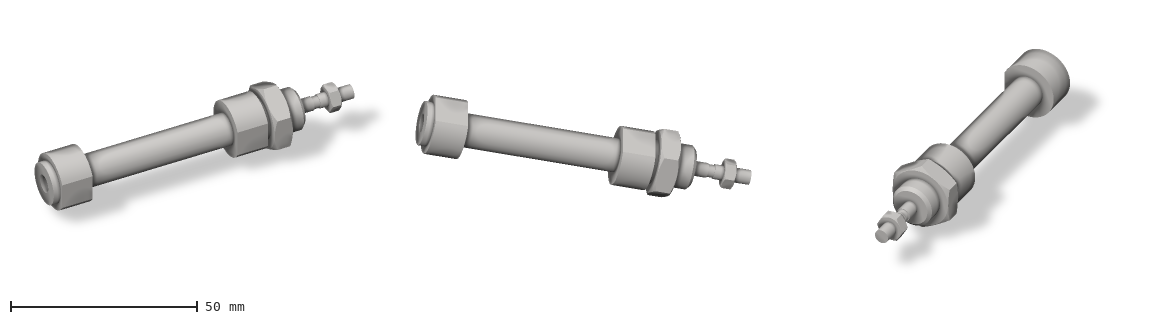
import cadquery as cq
import math


TOTAL_LENGTH = 91.0
REAR_SPIGOT_LENGTH = 2.0
HEAD_LENGTH = 9.0
FRONT_HEAD_Y = 54.0
FRONT_HEAD_END = FRONT_HEAD_Y + HEAD_LENGTH
HOUSING_LENGTH = 75.0

HEAD_DIAMETER = 16.0
HEAD_FLAT_X = 7.0
SPIGOT_DIAMETER = 12.0
SPIGOT_CHAMFER = 0.9
TUBE_DIAMETER = 9.2
PORT_DIAMETER = 4.0
PORT_MOUTH_DIAMETER = 5.2
PORT_DEPTH = 8.0
DRILL_TIP_ANGLE = 118.0

ROD_DIAMETER = 4.0
NECK_DIAMETER = 3.5
NECK_Y = 79.2
NECK_LENGTH = 1.8

MOUNTING_NUT_FLATS = 17.0
MOUNTING_NUT_Y = 64.25
MOUNTING_NUT_LENGTH = 5.5
ROD_NUT_FLATS = 7.0
ROD_NUT_Y = 83.45
ROD_NUT_LENGTH = 3.1
NUT_CHAMFER_ANGLE = 30.0
NUT_FACE_RATIO = 0.99


def cylinder(diameter, start, end):
    """Solid cylinder on the Y axis between two stations."""
    return cq.Workplane(cq.Solid.makeCylinder(
        diameter / 2, end - start, cq.Vector(0, start, 0), cq.Vector(0, 1, 0)
    ))


def revolve_about_y(points):
    """Revolve a closed (radius, y) outline about the Y axis."""
    return cq.Workplane("XY").polyline(points).close().revolve(360, (0, 0, 0), (0, 1, 0))


def make_head(start):
    """Round cylinder head with one flat on its +X side."""
    head = cylinder(HEAD_DIAMETER, start, start + HEAD_LENGTH)
    keep = cq.Workplane("XY").box(
        HEAD_DIAMETER, HEAD_LENGTH, HEAD_DIAMETER
    ).translate((HEAD_FLAT_X - HEAD_DIAMETER / 2, start + HEAD_LENGTH / 2, 0))
    return head.intersect(keep)


def make_port():
    """Countersunk blind hole with a drill-point bottom, opening at the rear face."""
    radius = PORT_DIAMETER / 2
    mouth_radius = PORT_MOUTH_DIAMETER / 2
    tip_length = radius / math.tan(math.radians(DRILL_TIP_ANGLE / 2))
    return revolve_about_y([
        (0, 0),
        (mouth_radius, 0),
        (radius, mouth_radius - radius),
        (radius, PORT_DEPTH),
        (0, PORT_DEPTH + tip_length),
    ])


def make_housing():
    """Tube with a head and a spigot at each end."""
    front_spigot = cylinder(SPIGOT_DIAMETER, FRONT_HEAD_END, HOUSING_LENGTH)
    front_spigot = front_spigot.faces(">Y").chamfer(SPIGOT_CHAMFER)
    return (
        cylinder(SPIGOT_DIAMETER, 0, REAR_SPIGOT_LENGTH)
        .union(make_head(REAR_SPIGOT_LENGTH))
        .union(cylinder(TUBE_DIAMETER, REAR_SPIGOT_LENGTH + HEAD_LENGTH, FRONT_HEAD_Y))
        .union(make_head(FRONT_HEAD_Y))
        .union(front_spigot)
        .cut(make_port())
    )


def make_rod():
    """Piston rod standing on the front spigot, with a narrow neck."""
    return (
        cylinder(ROD_DIAMETER, HOUSING_LENGTH, NECK_Y)
        .union(cylinder(NECK_DIAMETER, NECK_Y, NECK_Y + NECK_LENGTH))
        .union(cylinder(ROD_DIAMETER, NECK_Y + NECK_LENGTH, TOTAL_LENGTH))
    )


def make_nut(flats, bore, start, length, corner_angle):
    """Bored hex nut with its corners chamfered at both ends.

    corner_angle turns one corner of the hexagon from +X about the Y axis.
    """
    corner_radius = flats / math.sqrt(3)
    face_radius = NUT_FACE_RATIO * flats / 2
    chamfer = (corner_radius - face_radius) * math.tan(math.radians(NUT_CHAMFER_ANGLE))
    end = start + length
    hexagon = (
        cq.Workplane("XZ", origin=(0, end, 0))
        .polygon(6, 2 * corner_radius)
        .extrude(length)
        .rotate((0, 0, 0), (0, 1, 0), corner_angle)
    )
    outline = [
        (0, start),
        (face_radius, start),
        (corner_radius, start + chamfer),
        (corner_radius, end - chamfer),
        (face_radius, end),
        (0, end),
    ]
    return hexagon.intersect(revolve_about_y(outline)).cut(cylinder(bore, start, end))


housing = make_housing()
rod = make_rod()
mounting_nut = make_nut(
    MOUNTING_NUT_FLATS, SPIGOT_DIAMETER, MOUNTING_NUT_Y, MOUNTING_NUT_LENGTH,
    corner_angle=90,
)
rod_nut = make_nut(
    ROD_NUT_FLATS, ROD_DIAMETER, ROD_NUT_Y, ROD_NUT_LENGTH,
    corner_angle=0,
)

result = cq.Compound.makeCompound([
    housing.val(),
    rod.val(),
    mounting_nut.val(),
    rod_nut.val(),
])